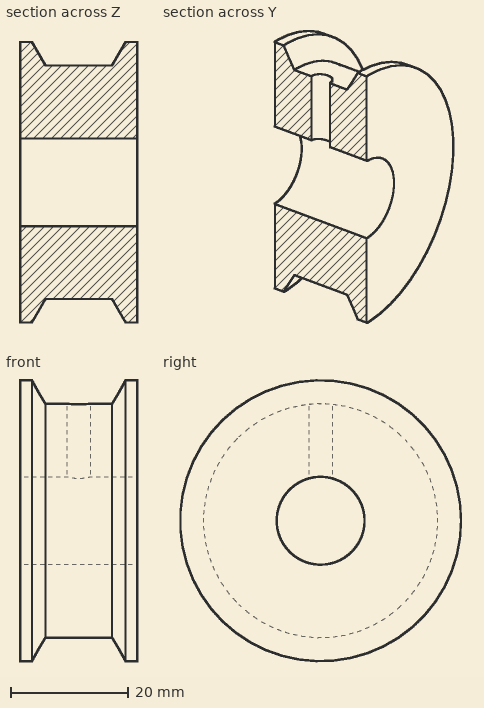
import cadquery as cq
import math

outer_diameter = 48.0
floor_diameter = 40.0
bore_diameter = 15.0
cross_hole_diameter = 4.0
width = 20.0
rim_width = 2.0
flank_angle = 30.0

outer_radius = outer_diameter / 2
floor_radius = floor_diameter / 2
bore_radius = bore_diameter / 2
half_width = width / 2
groove_half_width = half_width - rim_width
flank_width = (outer_radius - floor_radius) * math.tan(math.radians(flank_angle))
floor_half_width = groove_half_width - flank_width


def grooved_wheel():
    """Bored wheel about the X axis with a flat-bottomed, sloped-side groove."""
    half_section = [
        (-half_width, bore_radius),
        (-half_width, outer_radius),
        (-groove_half_width, outer_radius),
        (-floor_half_width, floor_radius),
        (floor_half_width, floor_radius),
        (groove_half_width, outer_radius),
        (half_width, outer_radius),
        (half_width, bore_radius),
    ]
    return cq.Workplane("XY").polyline(half_section).close().revolve(360, (0, 0, 0), (1, 0, 0))


def cross_hole():
    """Radial hole running from the bore axis out through the top of the groove floor."""
    return cq.Workplane("XY").circle(cross_hole_diameter / 2).extrude(outer_radius)


result = grooved_wheel().cut(cross_hole())